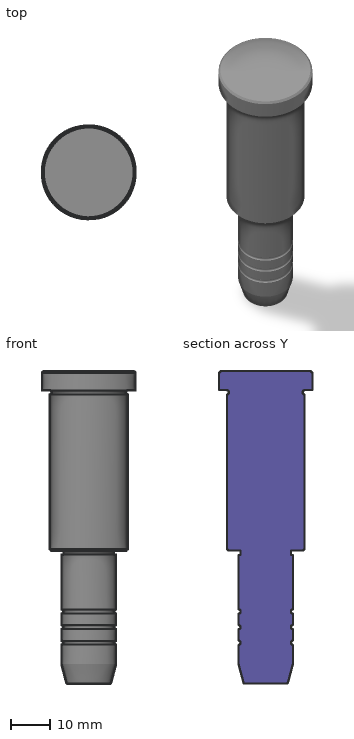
import cadquery as cq
import math

head_radius = 12.0
head_height = 5.0
head_chamfer = 0.5

total_length = 80.0
body_radius = 10.0
body_length = 41.0
body_chamfer = 0.5

shank_radius = 7.0
neck_radius = 6.5
neck_height = 1.0

tip_height = 5.0
tip_taper_angle = 15.0
tip_radius = shank_radius - tip_height * math.tan(math.radians(tip_taper_angle))
tip_round = 0.5

groove_radius = 0.5
shank_groove_pitch = 4.0
shank_groove_count = 3
lowest_shank_groove_height = 10.5

head_bottom = total_length - head_height
body_bottom = head_bottom - body_length


def cylinder(radius, bottom, top):
    return cq.Workplane("XY").workplane(offset=bottom).circle(radius).extrude(top - bottom)


def make_head():
    head = cylinder(head_radius, head_bottom, total_length)
    return head.faces(">Z").edges().chamfer(head_chamfer)


def make_body():
    body = cylinder(body_radius, body_bottom, head_bottom)
    return body.faces("<Z").edges().chamfer(body_chamfer)


def make_shank():
    shank = cylinder(shank_radius, tip_height, body_bottom - neck_height)
    neck = cylinder(neck_radius, body_bottom - neck_height, body_bottom)
    tip = (
        cq.Workplane("XY")
        .workplane(offset=tip_height)
        .circle(shank_radius)
        .workplane(offset=-tip_height)
        .circle(tip_radius)
        .loft(ruled=True)
    )
    tip = tip.faces("<Z").edges().fillet(tip_round)
    return shank.union(neck).union(tip)


def groove_ring(surface_radius, height):
    """Round ring centered on a cylinder surface, leaving a half-round groove when cut away."""
    return (
        cq.Workplane("XZ")
        .center(surface_radius, height)
        .circle(groove_radius)
        .revolve(360, (-surface_radius, 0, 0), (-surface_radius, 1, 0))
    )


def make_grooved_body():
    undercut_height = head_bottom - groove_radius
    return make_body().cut(groove_ring(body_radius, undercut_height))


def make_grooved_shank():
    shank = make_shank()
    for index in range(shank_groove_count):
        height = lowest_shank_groove_height + index * shank_groove_pitch
        shank = shank.cut(groove_ring(shank_radius, height))
    return shank


result = make_head().union(make_grooved_body()).union(make_grooved_shank())